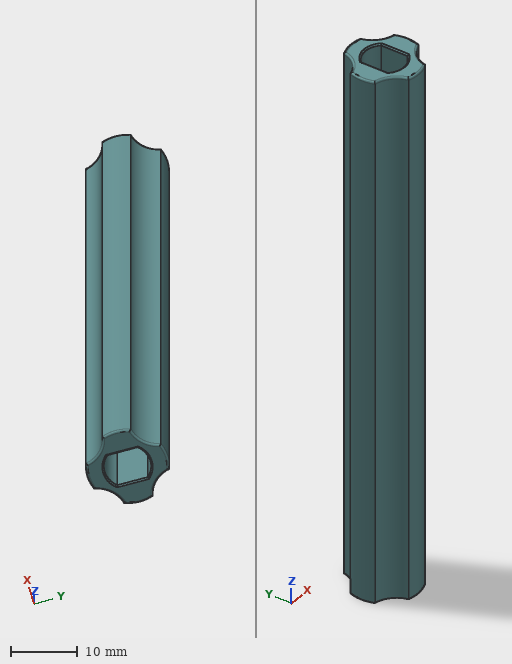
import cadquery as cq
import math

length = 96.9
outer_diameter = 12.5
lobe_edge_offset = 2.2
flute_bottom_radius = 4.9
lobe_count = 4
end_fillet = 0.34
bore_diameter = 7.1
bore_flat_width = 5.2
bore_chamfer = 0.24

outer_radius = outer_diameter / 2
lobe_edge_angle = math.asin(lobe_edge_offset / outer_radius)
lobe_spacing = 2 * math.pi / lobe_count


def polar(radius, angle):
    """Point at a distance and angle (radians from +X) around the axis."""
    return radius * math.cos(angle), radius * math.sin(angle)


def make_body():
    """Round lobes joined by concave flutes, with the outer end edges rounded."""
    outline = cq.Workplane("XY").moveTo(*polar(outer_radius, -lobe_edge_angle))
    for lobe in range(lobe_count):
        tip_angle = lobe * lobe_spacing
        next_tip_angle = tip_angle + lobe_spacing
        flute_angle = tip_angle + lobe_spacing / 2
        outline = outline.threePointArc(
            polar(outer_radius, tip_angle),
            polar(outer_radius, tip_angle + lobe_edge_angle),
        )
        outline = outline.threePointArc(
            polar(flute_bottom_radius, flute_angle),
            polar(outer_radius, next_tip_angle - lobe_edge_angle),
        )
    body = outline.close().extrude(length)
    return body.faces("<Z or >Z").edges().fillet(end_fillet)


def make_bore():
    """Round through bore with two flats facing along X."""
    round_bore = cq.Workplane("XY").circle(bore_diameter / 2).extrude(length)
    flats = cq.Workplane("XY").rect(bore_flat_width, bore_diameter).extrude(length)
    return round_bore.intersect(flats)


def cut_bore(body):
    """Cut the bore and chamfer its mouth at both ends."""
    bored = body.cut(make_bore())
    mouth_edges = []
    for end_face in bored.faces("<Z or >Z").vals():
        for mouth in end_face.innerWires():
            mouth_edges.extend(mouth.Edges())
    return bored.newObject(mouth_edges).chamfer(bore_chamfer)


result = cut_bore(make_body())